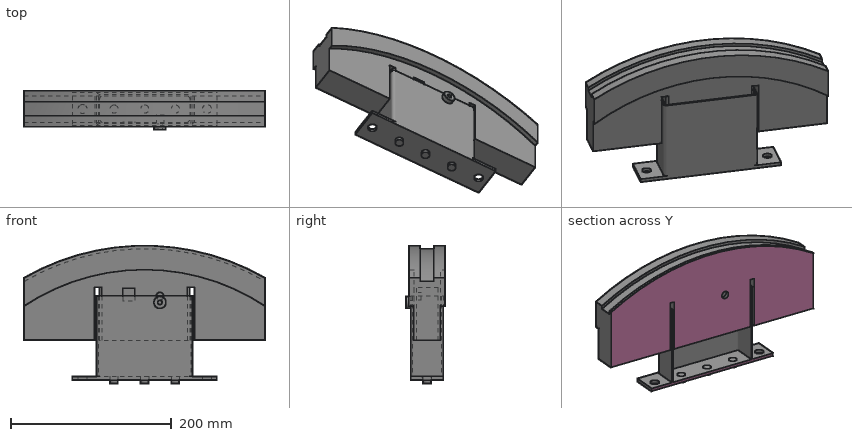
import cadquery as cq
import math

EPS = 3.0

shoe_length = 300.0
rim_radius = 300.0
rim_thickness = 30.0
rim_width = 45.0
crown_height = 167.5
groove_width = 17.0
groove_depth = 3.5
web_width = 33.0
web_bottom = 49.8
slot_top = 115.5
slot_outer_x = 62.0
tongue_length = 112.8
tongue_chamfer = 3.0

wall = 2.5
corner_radius = 4.0
box_length = 120.0
box_top = 104.7
box_width = 40.8
box_inner_length = box_length - 2 * wall
box_inner_width = box_width - 2 * wall
base_length = 180.0
base_thickness = 4.5
mount_hole_diameter = 11.0
mount_hole_inset = 12.5

boss_x = 19.2
boss_z = 96.5
boss_diameter = 15.0
boss_front_y = -26.0
boss_hole_diameter = 5.5
tongue_hole_diameter = 9.0
tongue_hole_depth = 9.0

recess_length = 14.7
recess_center_x = -19.5
recess_top = 114.0
recess_height = 15.0
recess_depth = 0.3

peg_diameter = 10.2
peg_spacing = 38.0
peg_protrusion = 4.5
peg_positions = [(step * peg_spacing, 0) for step in (-1, 0, 1)]

half_length = shoe_length / 2
arc_center_z = crown_height - rim_radius


def arc_height(radius, x):
    """Height at x of an arc about the common rim centre."""
    return arc_center_z + math.sqrt(radius**2 - x**2)


def front_plate(outline, width):
    """Extrude an XZ outline symmetrically about the Y = 0 plane."""
    return outline.close().extrude(width / 2, both=True)


def under_arc(radius, bottom, width):
    """Plate with an arched top and a flat bottom."""
    end_z = arc_height(radius, half_length)
    outline = (
        cq.Workplane("XZ")
        .moveTo(-half_length, bottom)
        .lineTo(-half_length, end_z)
        .threePointArc((0, arc_center_z + radius), (half_length, end_z))
        .lineTo(half_length, bottom)
    )
    return front_plate(outline, width)


def make_rim():
    """Curved rim with a shallow groove along the middle of its crown."""
    inner_radius = rim_radius - rim_thickness
    rim = under_arc(rim_radius, web_bottom, rim_width)
    rim = rim.cut(under_arc(inner_radius, web_bottom, rim_width + EPS))
    groove = under_arc(rim_radius + EPS, web_bottom, groove_width)
    groove = groove.cut(under_arc(rim_radius - groove_depth, web_bottom, groove_width))
    return rim.cut(groove)


def make_shoe():
    """Rim and web, with two slots that leave a tongue inside the bracket."""
    web = under_arc(rim_radius - groove_depth, web_bottom, web_width)
    opening = cq.Workplane("XY").workplane(offset=web_bottom).rect(
        2 * slot_outer_x, web_width + EPS).extrude(slot_top - web_bottom)
    tongue = (
        cq.Workplane("XY").workplane(offset=web_bottom)
        .rect(tongue_length, web_width)
        .extrude(slot_top - web_bottom)
        .edges("|Z").chamfer(tongue_chamfer)
    )
    recess = cq.Workplane("XY").box(recess_length, 2 * recess_depth, recess_height).translate(
        (recess_center_x, -web_width / 2, recess_top - recess_height / 2))
    hole = (
        cq.Workplane("XZ", origin=(boss_x, -web_width / 2, box_top))
        .circle(tongue_hole_diameter / 2).extrude(-tongue_hole_depth)
    )
    shoe = web.cut(opening).union(tongue).union(make_rim())
    return shoe.cut(recess).cut(hole)


def make_bracket():
    """Base plate with an open-topped box and a drilled boss on its front wall."""
    base = cq.Workplane("XY").rect(base_length, box_width).extrude(base_thickness)
    box = (
        cq.Workplane("XY").rect(box_length, box_width)
        .extrude(box_top)
        .edges("|Z").fillet(corner_radius)
    )
    cavity = (
        cq.Workplane("XY").workplane(offset=base_thickness)
        .rect(box_inner_length, box_inner_width)
        .extrude(box_top)
        .edges("|Z").fillet(corner_radius - wall)
    )
    boss_plane = cq.Workplane("XZ", origin=(boss_x, boss_front_y, boss_z))
    boss_length = -boss_front_y - box_inner_width / 2
    boss = boss_plane.circle(boss_diameter / 2).extrude(-boss_length)
    boss_hole = boss_plane.circle(boss_hole_diameter / 2).extrude(-boss_length)
    mount_x = base_length / 2 - mount_hole_inset
    mount_holes = (
        cq.Workplane("XY").pushPoints([(-mount_x, 0), (mount_x, 0)])
        .circle(mount_hole_diameter / 2).extrude(base_thickness)
    )
    peg_holes = (
        cq.Workplane("XY").pushPoints(peg_positions)
        .circle(peg_diameter / 2).extrude(base_thickness)
    )
    bracket = base.union(box).cut(cavity).union(boss)
    return bracket.cut(boss_hole).cut(mount_holes).cut(peg_holes)


def make_peg(x, y):
    """Round peg filling a base hole and projecting below the base."""
    return (
        cq.Workplane("XY", origin=(x, y, -peg_protrusion))
        .circle(peg_diameter / 2).extrude(peg_protrusion + base_thickness)
    )


shoe = make_shoe()
bracket = make_bracket()
pegs = [make_peg(x, y) for x, y in peg_positions]

result = cq.Compound.makeCompound([shoe.solids().val(), bracket.solids().val(), *[peg.val() for peg in pegs]])